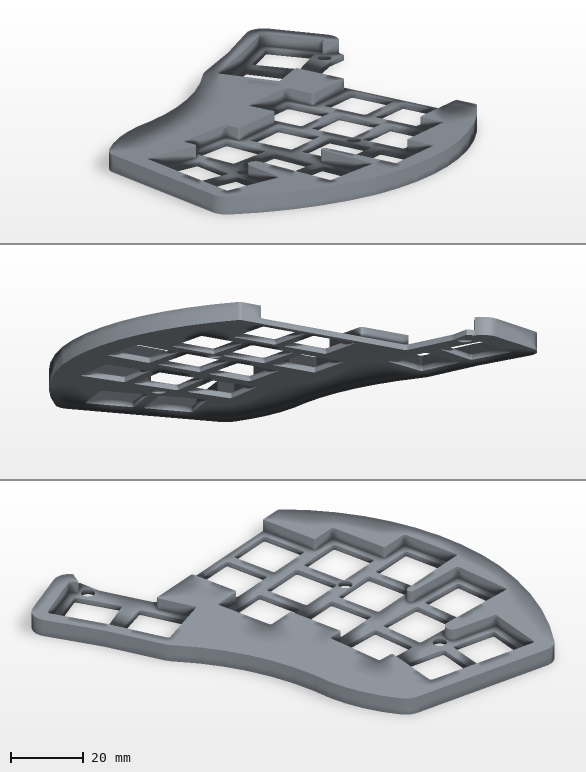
import cadquery as cq
import math

PLATE_THICKNESS = 5.1
FLOOR_THICKNESS = 1.5
CORNER_RADIUS = 5.0
PALM_CORNER_RADIUS = 6.0
SHARP_CORNER_RADIUS = 1.2
WAIST_RADIUS = 9.6

CUTOUT_SIZE = 14.0
CUTOUT_RADIUS = 0.6
CELL_SIZE = 18.4
CELL_RADIUS = 0.6
THUMB_CELL_RADIUS = 1.0
KEY_PITCH = 17.0
ROW_PITCH = 18.0
ROW_STAGGER = 9.0

UPPER_TONGUE_RADIUS = 1.11
LOWER_TONGUE_RADIUS = 2.2

SCREW_HOLE_DIAMETER = 4.0
SCREW_HOLES = [(23.0, 103.9), (83.0, 66.1), (85.5, 25.4)]

BLOCK_LEFT = 35.9
BLOCK_BACK = 101.8

OVERCUT = 4.8


def local_point(frame, x, y):
    """Point (x, y) of a turned frame (origin x, origin y, angle in degrees)."""
    origin_x, origin_y, angle = frame
    c = math.cos(math.radians(angle))
    s = math.sin(math.radians(angle))
    return (origin_x + x * c - y * s, origin_y + x * s + y * c)


MAIN_ANGLE = 17
TOP_ROW = (59.4, 86.7, MAIN_ANGLE)
SECOND_ROW = (*local_point(TOP_ROW, -ROW_STAGGER, -ROW_PITCH), MAIN_ANGLE)
THIRD_ROW = (*local_point(TOP_ROW, 0, -2 * ROW_PITCH), MAIN_ANGLE)
FOURTH_ROW = (69.8, 33.0, 12)
BOTTOM_ROW = (77.0, 14.4, 0)
UPPER_THUMB = (16.6, 94.3, 34)
LOWER_THUMB = (26.5, 78.5, 30)

ROWS = [
    (TOP_ROW, 2),
    (SECOND_ROW, 3),
    (THIRD_ROW, 3),
    (FOURTH_ROW, 3),
    (BOTTOM_ROW, 2),
    (UPPER_THUMB, 1),
    (LOWER_THUMB, 1),
]

THUMB_CORNER = (5.0, 97.0)
THUMB_TIP = (18.7, 106.1)
THUMB_TIP_END = (22.2, 109.7)
THUMB_SIDE_TOP = (24.4, 109.7)
THUMB_SIDE_BEND = (26.1, 103.3)
INNER_CORNER = (35.0, 88.7)
TOP_CORNER = (88.5, 105.1)
RIGHT_ARC_MIDDLE = (114.0, 73.0)
RIGHTMOST = (119.7, 44.3)
LOWER_RIGHT_ARC_MIDDLE = (116.6, 23.3)
BOTTOM_RIGHT = (106.3, 0)
BOTTOM_LEFT = (57.2, 0)
PALM_ARC_MIDDLE = (47.2, 14.4)
PALM_INFLECTION = (43.6, 26.1)
WAIST_ARC_MIDDLE = (36.0, 44.3)
WAIST = (20.6, 63.0)
THUMB_EDGE_BEND = (11.0, 79.6)

THUMB_WALL_OUTER = (22.5, 111.0)
THUMB_WALL_INNER = (20.8, 105.4)
OUTSIDE_THUMB = (29.9, 111.0)

STRIP_LEFT = -25.1
STRIP_FRONT = 6.8


def on_circle(center, radius, angle):
    """Point of a circle at an angle in degrees from +X."""
    return local_point((*center, angle), radius, 0)


def fillet_near(solid, point, radius):
    """Round the upright edge of the solid closest to a plan point."""
    nearest = cq.NearestToPointSelector((*point, PLATE_THICKNESS / 2))
    return solid.edges("|Z").edges(nearest).fillet(radius)


def make_plate():
    edge_normal = 90 + UPPER_THUMB[2]
    plate = (
        cq.Workplane("XY")
        .moveTo(*on_circle(THUMB_CORNER, CORNER_RADIUS, edge_normal + 90))
        .threePointArc(
            on_circle(THUMB_CORNER, CORNER_RADIUS, edge_normal + 45),
            on_circle(THUMB_CORNER, CORNER_RADIUS, edge_normal),
        )
        .lineTo(*on_circle(THUMB_TIP, CORNER_RADIUS, edge_normal))
        .threePointArc(on_circle(THUMB_TIP, CORNER_RADIUS, 90), THUMB_TIP_END)
        .lineTo(*THUMB_SIDE_TOP)
        .lineTo(*THUMB_SIDE_BEND)
        .lineTo(*INNER_CORNER)
        .lineTo(*TOP_CORNER)
        .threePointArc(RIGHT_ARC_MIDDLE, RIGHTMOST)
        .threePointArc(LOWER_RIGHT_ARC_MIDDLE, BOTTOM_RIGHT)
        .lineTo(*BOTTOM_LEFT)
        .threePointArc(PALM_ARC_MIDDLE, PALM_INFLECTION)
        .threePointArc(WAIST_ARC_MIDDLE, WAIST)
        .lineTo(*THUMB_EDGE_BEND)
        .close()
        .extrude(PLATE_THICKNESS)
    )
    plate = fillet_near(plate, BOTTOM_LEFT, PALM_CORNER_RADIUS)
    plate = fillet_near(plate, BOTTOM_RIGHT, CORNER_RADIUS)
    plate = fillet_near(plate, WAIST, WAIST_RADIUS)
    plate = fillet_near(plate, TOP_CORNER, SHARP_CORNER_RADIUS)
    return fillet_near(plate, INNER_CORNER, SHARP_CORNER_RADIUS)


def prism(points, bottom):
    """Upright block over a plan polygon, tall enough to reach the top of the plate or past it."""
    return cq.Workplane("XY").workplane(offset=bottom).polyline(points).close().extrude(PLATE_THICKNESS)


def local_box(frame, left, right, front, back, bottom):
    """Upright block over a rectangle given in a turned frame."""
    corners = [(left, front), (right, front), (right, back), (left, back)]
    return prism([local_point(frame, x, y) for x, y in corners], bottom)


def row_end(count):
    """Right end of the recess of a row, measured from its first key."""
    return (count - 1) * KEY_PITCH + CELL_SIZE / 2


def row_edge_crossing(upper, lower):
    """Where the front edge of one row's recess crosses the back edge of the next."""
    x1, y1 = local_point(upper, 0, -CELL_SIZE / 2)
    x2, y2 = local_point(lower, 0, CELL_SIZE / 2)
    slope1 = math.tan(math.radians(upper[2]))
    slope2 = math.tan(math.radians(lower[2]))
    x = (y2 - y1 + slope1 * x1 - slope2 * x2) / (slope1 - slope2)
    return (x, y1 + slope1 * (x - x1))


def round_recess(recess):
    """Round the upright edges of the recess, the narrow tongues with larger radii."""
    upper_tongue = row_edge_crossing(THIRD_ROW, FOURTH_ROW)
    lower_tongue = row_edge_crossing(FOURTH_ROW, BOTTOM_ROW)

    def is_block_corner(edge):
        x, y, _ = edge.Center().toTuple()
        at_tongue = min(math.dist((x, y), upper_tongue), math.dist((x, y), lower_tongue)) < CELL_RADIUS
        return x > BLOCK_LEFT and y < BLOCK_BACK and not at_tongue

    recess = recess.edges("|Z").filter(is_block_corner).fillet(CELL_RADIUS)
    recess = fillet_near(recess, upper_tongue, UPPER_TONGUE_RADIUS)
    recess = fillet_near(recess, lower_tongue, LOWER_TONGUE_RADIUS)

    half = CELL_SIZE / 2
    recess = fillet_near(recess, local_point(UPPER_THUMB, -half, half), THUMB_CELL_RADIUS)
    recess = fillet_near(recess, local_point(UPPER_THUMB, half, half), THUMB_CELL_RADIUS)
    return fillet_near(recess, local_point(LOWER_THUMB, -half, -half), CELL_RADIUS)


def make_recess():
    """Everything removed above the thin floor that carries the keys."""
    half = CELL_SIZE / 2
    recess = None
    for frame, count in ROWS:
        cells = local_box(frame, -half, row_end(count), -half, half, FLOOR_THICKNESS)
        recess = cells if recess is None else recess.union(cells)

    strip = local_box(TOP_ROW, STRIP_LEFT, row_end(2), STRIP_FRONT, half + OVERCUT, FLOOR_THICKNESS)

    inset = 7.2
    thumb_side = prism(
        [
            THUMB_WALL_OUTER,
            THUMB_WALL_INNER,
            local_point(UPPER_THUMB, inset, inset),
            local_point(UPPER_THUMB, -inset, 0),
            local_point(LOWER_THUMB, -inset, 0),
            local_point(LOWER_THUMB, inset, 0),
            local_point(TOP_ROW, STRIP_LEFT, STRIP_FRONT),
            local_point(TOP_ROW, STRIP_LEFT + OVERCUT, half + OVERCUT),
            OUTSIDE_THUMB,
        ],
        FLOOR_THICKNESS,
    )
    return round_recess(recess.union(strip).union(thumb_side))


def make_cutout(frame, x):
    """Through cutout for the key whose centre is x along its row."""
    half = CUTOUT_SIZE / 2
    return local_box(frame, x - half, x + half, -half, half, 0).edges("|Z").fillet(CUTOUT_RADIUS)


def make_screw_holes():
    holes = cq.Workplane("XY").pushPoints(SCREW_HOLES).circle(SCREW_HOLE_DIAMETER / 2)
    return holes.extrude(PLATE_THICKNESS)


result = make_plate().cut(make_recess()).cut(make_screw_holes())
for row_frame, key_count in ROWS:
    for key in range(key_count):
        result = result.cut(make_cutout(row_frame, key * KEY_PITCH))